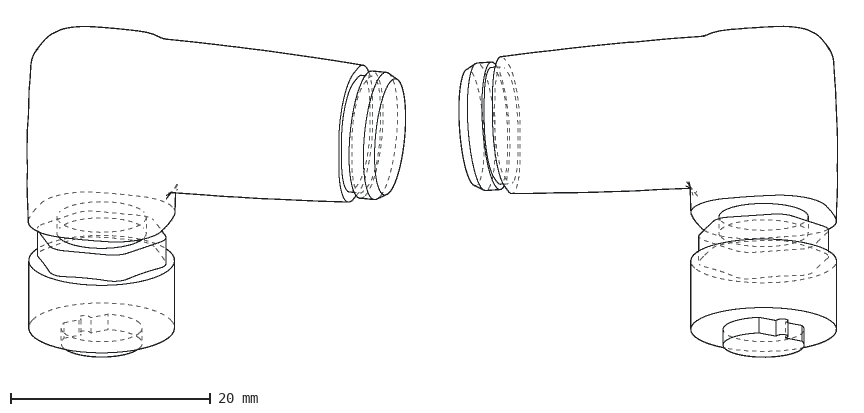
import cadquery as cq
import math


overall_length = 37.3

insert_radius = 4.05
insert_height = 1.65
insert_flat_distance = 3.17
insert_flat_angle = 135.0
key_radius = 0.55

nut_radius = 7.3
nut_shoulder_z = 8.85
hex_bottom_z = 9.05
hex_top_z = 11.75
hex_across_flats = 12.0
hex_edge_fillet = 2.05
nut_shoulder_radius = hex_across_flats / 2
neck_radius = 4.48
body_bottom_z = 13.45

body_top_z = 32.0
body_sections = [
    (body_bottom_z, 14.02, 13.88, 4.9, 0.095),
    (22.38, 14.25, 13.88, 4.9, 0.095),
    (body_top_z, 13.28, 12.98, 4.63, 0.095),
]
body_top_fillet = 1.95
top_dome_radius = 59.68
elbow_fillet = 1.85

arm_axis_z = 24.9
arm_end_x = 26.4
arm_sections = [
    (0.0, 13.6, 14.0, 4.1, 0.1),
    (9.32, 13.7, 14.17, 4.48, 0.1),
    (arm_end_x, 12.75, 13.43, 5.55, 0.02),
]

groove_width = 1.1
groove_size_y = 10.7
groove_size_z = 11.45
groove_corner_radius = 4.63
groove_bulge = 0.02
flange_radius = 6.4
flange_end_x = overall_length - nut_radius
flange_chamfer_radial = 0.55
flange_chamfer_axial = 1.0


def bulged_rectangle(plane, width, height, corner_radius, bulge):
    """Closed outline with slightly bowed sides that run tangent into round corners."""
    center_x = width / 2 - bulge - corner_radius
    center_y = height / 2 - bulge - corner_radius
    reach = corner_radius + bulge

    def side_radius(offset):
        """Radius of a bowed side whose neighbouring corner centres lie `offset` off its middle."""
        return (reach**2 + offset**2 - corner_radius**2) / (2 * bulge)

    def tangent_point(offset):
        """Where a side meets its corner: distance along the side and outwards."""
        stretch = corner_radius / (side_radius(offset) - corner_radius)
        outward = side_radius(offset) - reach
        return offset * (1 + stretch), outward * stretch

    along_y, out_x = tangent_point(center_y)
    along_x, out_y = tangent_point(center_x)
    side_x = center_x + out_x
    side_y = center_y + out_y
    corner_x = center_x + corner_radius * math.sqrt(0.5)
    corner_y = center_y + corner_radius * math.sqrt(0.5)
    return (
        cq.Workplane(plane)
        .moveTo(side_x, -along_y)
        .threePointArc((width / 2, 0), (side_x, along_y))
        .threePointArc((corner_x, corner_y), (along_x, side_y))
        .threePointArc((0, height / 2), (-along_x, side_y))
        .threePointArc((-corner_x, corner_y), (-side_x, along_y))
        .threePointArc((-width / 2, 0), (-side_x, -along_y))
        .threePointArc((-corner_x, -corner_y), (-along_x, -side_y))
        .threePointArc((0, -height / 2), (along_x, -side_y))
        .threePointArc((corner_x, -corner_y), (side_x, -along_y))
        .close()
    )


def smooth_loft(sections):
    """Smooth solid through a series of (plane, width, height, corner radius, bulge) outlines."""
    wires = [bulged_rectangle(*section).wire().val() for section in sections]
    return cq.Workplane(obj=cq.Solid.makeLoft(wires))


def horizontal_plane(z):
    return cq.Plane(origin=(0, 0, z))


def arm_plane(x):
    """Plane across the arm: local x is +Y and local y is +Z."""
    return cq.Plane(origin=(x, 0, arm_axis_z), xDir=(0, 1, 0), normal=(1, 0, 0))


def make_insert():
    insert = cq.Workplane().circle(insert_radius).extrude(insert_height)
    key_center = insert_radius - key_radius
    beyond_flat = (
        cq.Workplane()
        .center(insert_flat_distance + insert_radius, 0)
        .rect(2 * insert_radius, 2 * insert_radius)
        .extrude(insert_height)
    )
    key = (
        cq.Workplane()
        .center(key_center / 2, 0)
        .rect(key_center, 2 * key_radius)
        .extrude(insert_height)
        .union(cq.Workplane().center(key_center, 0).circle(key_radius).extrude(insert_height))
    )
    return insert.cut(beyond_flat).union(key).rotate((0, 0, 0), (0, 0, 1), insert_flat_angle)


def make_nut():
    nut = (
        cq.Workplane("XZ")
        .moveTo(0, insert_height)
        .lineTo(nut_radius, insert_height)
        .lineTo(nut_radius, nut_shoulder_z)
        .lineTo(nut_shoulder_radius, hex_bottom_z)
        .lineTo(0, hex_bottom_z)
        .close()
        .revolve(360, (0, 0), (0, 1))
    )
    hexagon = (
        cq.Workplane(horizontal_plane(nut_shoulder_z))
        .polygon(6, hex_across_flats / math.cos(math.pi / 6))
        .extrude(hex_top_z - nut_shoulder_z)
        .edges("|Z")
        .fillet(hex_edge_fillet)
    )
    neck = (
        cq.Workplane(horizontal_plane(hex_top_z)).circle(neck_radius).extrude(body_bottom_z - hex_top_z)
    )
    return nut.union(hexagon).union(neck)


def make_body():
    body = smooth_loft([(horizontal_plane(z), *size) for z, *size in body_sections])
    dome = (
        cq.Workplane("YZ")
        .center(0, body_top_z - top_dome_radius)
        .circle(top_dome_radius)
        .extrude(body_sections[0][1], both=True)
    )
    body = body.intersect(dome)
    return body.faces(">Z").edges().fillet(body_top_fillet)


def make_arm():
    return smooth_loft([(arm_plane(x), *size) for x, *size in arm_sections])


def make_arm_end():
    groove = bulged_rectangle(
        arm_plane(arm_end_x), groove_size_y, groove_size_z, groove_corner_radius, groove_bulge
    ).extrude(groove_width)
    flange_start_x = arm_end_x + groove_width
    flange = (
        cq.Workplane(arm_plane(flange_start_x))
        .circle(flange_radius)
        .extrude(flange_end_x - flange_start_x)
        .faces(">X")
        .chamfer(flange_chamfer_axial, flange_chamfer_radial)
    )
    return groove.union(flange)


def make_elbow():
    elbow = make_body().union(make_arm())
    body_front = (body_sections[0][1] / 2, 0, arm_axis_z - arm_sections[0][2] / 2)
    seam_start = elbow.edges(cq.selectors.NearestToPointSelector(body_front))
    return seam_start.fillet(elbow_fillet)


result = make_elbow().union(make_insert()).union(make_nut()).union(make_arm_end())